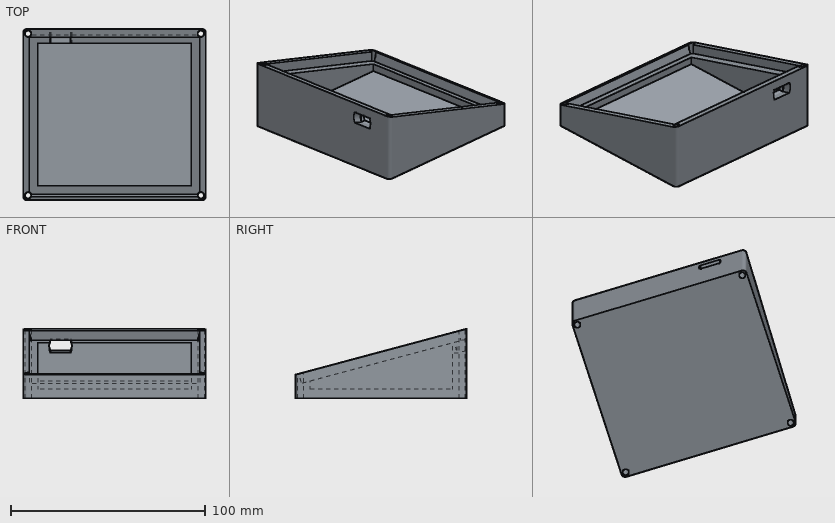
import cadquery as cq
import math


WIDTH = 94.0
DEPTH = 88.24
BACK_HEIGHT = 35.85
SLOPE_DEG = 15.0
CORNER_RADIUS = 2.0

RECESS_SIDE_WALL = 3.0
RECESS_FRONT_RIM = 1.8
RECESS_BACK_RIM = 4.5
RECESS_DEPTH = 5.0

CAVITY_WALL = 7.5
FLOOR_THICKNESS = 5.0

HOLE_DIAMETER = 3.2
HOLE_INSET = 2.5

SLOT_X = -27.8
SLOT_DIAMETER = 11.8
SLOT_FLOOR_Z = 23.4
SLOT_FLOOR_DROP = 3.0
SLOT_LEVEL_LENGTH = 2.5

slope = math.radians(SLOPE_DEG)
front_y = -DEPTH / 2
back_y = DEPTH / 2
front_height = BACK_HEIGHT - DEPTH * math.tan(slope)
slope_length = DEPTH / math.cos(slope)
cavity_back_y = back_y - CAVITY_WALL
slot_turn_y = cavity_back_y + SLOT_LEVEL_LENGTH
slot_turn_top_z = BACK_HEIGHT - (back_y - slot_turn_y) * math.tan(slope)
slot_roof_above_floor = (slot_turn_top_z - SLOT_FLOOR_Z) * math.cos(slope) - RECESS_DEPTH


def make_body():
    """Wedge with rounded vertical corners."""
    side_profile = [
        (front_y, 0),
        (back_y, 0),
        (back_y, BACK_HEIGHT),
        (front_y, front_height),
    ]
    wedge = cq.Workplane("YZ").polyline(side_profile).close().extrude(WIDTH / 2, both=True)
    return wedge.edges("|Z").fillet(CORNER_RADIUS)


def make_recess():
    """Lid recess, built in a frame that lies on the sloped top with its origin at the front edge."""
    top_plane = cq.Plane(
        origin=(0, front_y, front_height),
        xDir=(1, 0, 0),
        normal=(0, -math.sin(slope), math.cos(slope)),
    )
    recess_width = WIDTH - 2 * RECESS_SIDE_WALL
    recess_length = slope_length - RECESS_FRONT_RIM - RECESS_BACK_RIM
    recess_centre = RECESS_FRONT_RIM + recess_length / 2
    return (
        cq.Workplane(top_plane)
        .center(0, recess_centre)
        .rect(recess_width, recess_length)
        .extrude(RECESS_DEPTH, both=True)
    )


def make_cavity():
    """Rectangular cavity, open upwards."""
    return (
        cq.Workplane("XY", origin=(0, 0, FLOOR_THICKNESS))
        .rect(WIDTH - 2 * CAVITY_WALL, DEPTH - 2 * CAVITY_WALL)
        .extrude(BACK_HEIGHT)
    )


def make_holes():
    """Four vertical through holes."""
    return (
        cq.Workplane("XY")
        .rect(WIDTH - 2 * HOLE_INSET, DEPTH - 2 * HOLE_INSET, forConstruction=True)
        .vertices()
        .circle(HOLE_DIAMETER / 2)
        .extrude(BACK_HEIGHT)
    )


def make_slot_stretch(tilt, length, roof_height):
    """Slot stretch along `length` from the turning line (negative runs inwards), tilted up by `tilt`."""
    outward = cq.Vector(0, math.cos(tilt), math.sin(tilt))
    plane = cq.Plane(
        origin=(SLOT_X, slot_turn_y, SLOT_FLOOR_Z),
        xDir=(-1, 0, 0),
        normal=outward,
    )
    radius = SLOT_DIAMETER / 2
    roof_drop = roof_height - SLOT_FLOOR_DROP
    floor_half = math.sqrt(radius**2 - SLOT_FLOOR_DROP**2)
    roof_half = math.sqrt(radius**2 - roof_drop**2)
    return (
        cq.Workplane(plane)
        .moveTo(-floor_half, 0)
        .lineTo(floor_half, 0)
        .threePointArc((radius, SLOT_FLOOR_DROP), (roof_half, roof_height))
        .lineTo(-roof_half, roof_height)
        .threePointArc((-radius, SLOT_FLOOR_DROP), (-floor_half, 0))
        .close()
        .extrude(length)
    )


def make_slot():
    """Level stretch at the cavity, then a stretch parallel to the slope with its roof at the recess floor."""
    level = make_slot_stretch(0, -SLOT_LEVEL_LENGTH, 2 * SLOT_FLOOR_DROP)
    sloped = make_slot_stretch(slope, CAVITY_WALL, slot_roof_above_floor)
    return level.union(sloped)


result = (
    make_body()
    .cut(make_recess())
    .cut(make_cavity())
    .cut(make_holes())
    .cut(make_slot())
)